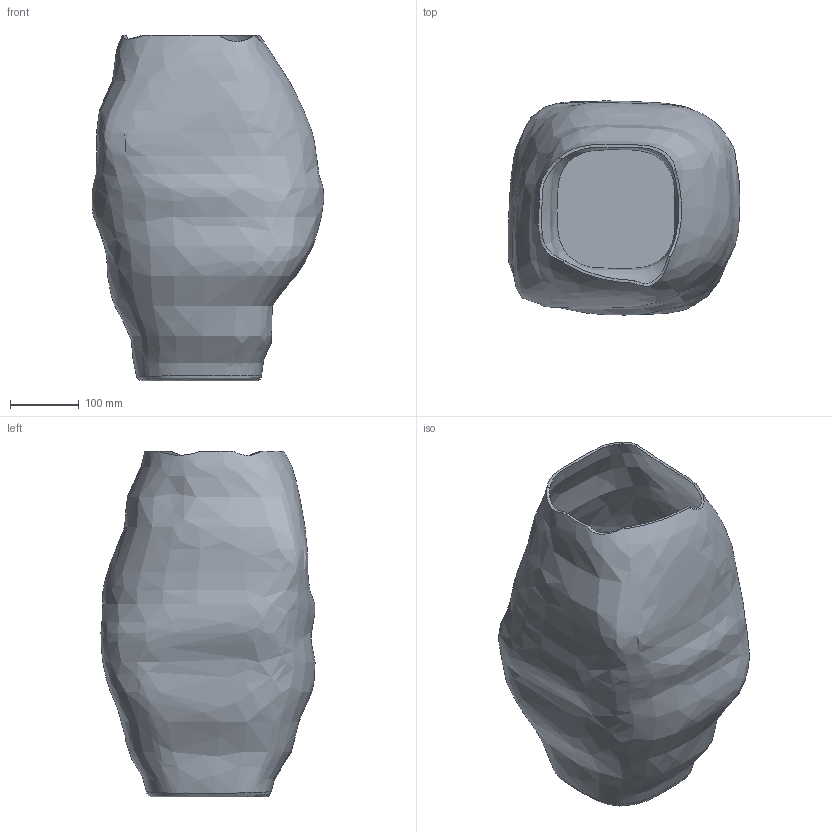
import cadquery as cq
import math

HEIGHT = 501.32
BELLY_HEIGHT = 270.0
WALL = 4.0
FLOOR = 6.0
FOOT_RADIUS = 8.0
POINTS_PER_CORNER = 6

BELLY_WIDTH = 336.60
BELLY_DEPTH = 311.14
REACH_LEFT = -163.0
REACH_RIGHT = REACH_LEFT + BELLY_WIDTH
REACH_FRONT = -161.0
REACH_BACK = REACH_FRONT + BELLY_DEPTH

SECTIONS = [
    (0, -96, 84, -97, 84),
    (40, -104, 90, -110, 96),
    (80, -114, 100, -131, 114),
    (120, -134, 106, -142, 122),
    (160, -143, 138, -158, 139),
    (200, -148, 159, -160, 148),
    (235, -160, 169, -155, REACH_BACK),
    (BELLY_HEIGHT, REACH_LEFT, REACH_RIGHT, REACH_FRONT, 148),
    (300, -157, 166, -153, 147),
    (340, -156, 161, -151, 136),
    (380, -155, 149, -147, 119),
    (420, -139, 131, -141, 114),
    (460, -130, 106, -133, 100),
    (HEIGHT, -119, 82, -115, 87),
]

SHAPES = [
    (0, -5, -5, -7, -7, 3.0, 3.0, 3.0, 3.0),
    (150, 0, -15, -30, -10, 2.3, 4.0, 3.2, 5.0),
    (210, 5, -20, -50, -15, 2.3, 3.0, 3.3, 4.5),
    (BELLY_HEIGHT, 5, -25, -65, -20, 2.3, 2.2, 3.6, 2.7),
    (340, 5, -25, -55, -20, 5.0, 2.1, 3.7, 2.4),
    (HEIGHT, 28, -19, -27, 10, 2.0, 2.5, 3.9, 2.6),
]

HOLLOWS = [
    (156, 430, 8, 12, 35),
    (198, 180, 7, 15, 25),
    (330, 250, 10, 9, 22),
    (289, 105, 6, 16, 20),
    (284, 335, 4, 14, 20),
]

RIM_DIPS = [
    ("front", 47, 52, 9),
    ("left", 36, 60, 6),
    ("left", -63, 40, 6),
    ("right", -15, 130, 14),
]


def shape_at(height):
    """Peak positions and corner squareness at a height, blended between the listed shapes."""
    for lower, upper in zip(SHAPES, SHAPES[1:]):
        if height <= upper[0]:
            break
    share = (height - lower[0]) / (upper[0] - lower[0])
    return [a + share * (b - a) for a, b in zip(lower[1:], upper[1:])]


def corner_points(peak_x, peak_y, side_x, side_y, squareness, ends_on_x_side):
    """Superellipse quarter; it leaves out its last point, which starts the next corner."""
    points = []
    for step in range(POINTS_PER_CORNER):
        angle = math.pi / 2 * step / POINTS_PER_CORNER
        if ends_on_x_side:
            angle = math.pi / 2 - angle
        x = peak_x + (side_x - peak_x) * math.cos(angle) ** (2 / squareness)
        y = peak_y + (side_y - peak_y) * math.sin(angle) ** (2 / squareness)
        points.append((x, y))
    return points


def hollowed(x, y, height):
    """Point moved toward the vertical axis by the bell-shaped hollows around it."""
    direction = math.degrees(math.atan2(y, x))
    depth = 0
    for angle, middle, deepest, angle_spread, height_spread in HOLLOWS:
        turn = (direction - angle + 180) % 360 - 180
        depth += deepest * math.exp(-((turn / angle_spread) ** 2) - ((height - middle) / height_spread) ** 2)
    kept = 1 - depth / math.hypot(x, y)
    return x * kept, y * kept


def section_points(section, inset):
    """Closed counter-clockwise outline of a section, moved inward by the inset."""
    height, left, right, front, back = section
    front_x, back_x, left_y, right_y, front_left, front_right, back_right, back_left = shape_at(height)
    left, right = left + inset, right - inset
    front, back = front + inset, back - inset
    points = corner_points(front_x, left_y, left, front, front_left, False)
    points += corner_points(front_x, right_y, right, front, front_right, True)
    points += corner_points(back_x, right_y, right, back, back_right, False)
    points += corner_points(back_x, left_y, left, back, back_left, True)
    half = POINTS_PER_CORNER // 2
    points = points[half:] + points[:half]
    return [cq.Vector(*hollowed(x, y, height), height) for x, y in points]


def lofted_body(sections, inset):
    """Smooth capped solid through the sections, every one moved inward by the inset."""
    wires = []
    point_count = 4 * POINTS_PER_CORNER
    even_parameters = [index / point_count for index in range(point_count + 1)]
    for section in sections:
        points = section_points(section, inset)
        edge = cq.Edge.makeSpline(points, periodic=True, parameters=even_parameters)
        wires.append(cq.Wire.assembleEdges([edge]))
    loft = cq.occ_impl.shapes.loft(wires, cap=True, continuity="C1", degree=2)
    return cq.Workplane(loft)


def dip_cutter(side, position, width, depth):
    """Flat-lying cylinder whose arc scoops one dip out of the rim on one side."""
    radius = (width ** 2 / 4 + depth ** 2) / (2 * depth)
    axis_height = HEIGHT - depth + radius
    if side == "front":
        return cq.Workplane("XZ", origin=(position, 0, axis_height)).circle(radius).extrude(-REACH_FRONT)
    reach = REACH_LEFT if side == "left" else REACH_RIGHT
    return cq.Workplane("YZ", origin=(0, position, axis_height)).circle(radius).extrude(reach)


body = lofted_body(SECTIONS, 0)
body = body.faces("<Z").edges().fillet(FOOT_RADIUS)
cavity_floor = (FLOOR, *SECTIONS[0][1:])
cavity = lofted_body([cavity_floor, *SECTIONS[1:]], WALL)
result = body.cut(cavity)
for dip in RIM_DIPS:
    result = result.cut(dip_cutter(*dip))